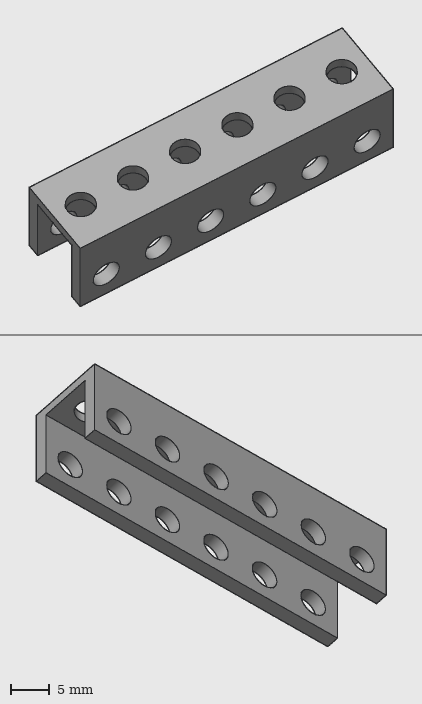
import cadquery as cq

length = 48.0
hole_count = 6
pitch = length / hole_count
width = length / 4
height = width
hole_diameter = pitch / 2
wall_thickness = pitch / 4
web_thickness = 1.5
side_hole_height = height / 3

hole_places = [(index + 0.5) * pitch - length / 2 for index in range(hole_count)]


def make_channel():
    """Square bar with a full-length slot cut up from below."""
    bar = cq.Workplane("XY").box(width, length, height, centered=(True, True, False))
    slot = cq.Workplane("XY").box(
        width - 2 * wall_thickness,
        length,
        height - web_thickness,
        centered=(True, True, False),
    )
    return bar.cut(slot)


def make_web_holes():
    """Vertical cylinders along the centre line of the web."""
    centres = [(0, y) for y in hole_places]
    return cq.Workplane("XY").pushPoints(centres).circle(hole_diameter / 2).extrude(height)


def make_side_holes():
    """Cylinders along X that pass through both side walls."""
    centres = [(y, side_hole_height) for y in hole_places]
    return cq.Workplane("YZ").pushPoints(centres).circle(hole_diameter / 2).extrude(width / 2, both=True)


result = make_channel().cut(make_web_holes()).cut(make_side_holes())